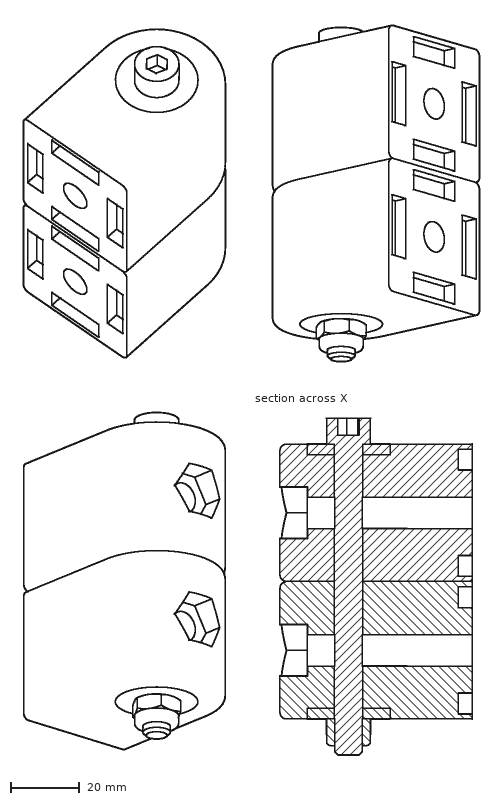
import cadquery as cq
import math


BLOCK_WIDTH = 40.0
BLOCK_HEIGHT = BLOCK_WIDTH
BACK_RADIUS = BLOCK_WIDTH / 2
FRONT_Y = -36.0
EDGE_FILLET = 2.0

CROSS_HOLE_DIAMETER = 9.0
NUT_POCKET_FLATS = 14.9
NUT_POCKET_DEPTH = 8.0

POCKET_LENGTH = 18.0
POCKET_WIDTH = 6.0
POCKET_DEPTH = 4.0
POCKET_MARGIN = 1.6
POCKET_COUNT = 4
POCKET_OFFSET = BLOCK_WIDTH / 2 - POCKET_MARGIN - POCKET_WIDTH / 2

WASHER_DIAMETER = 24.0
WASHER_THICKNESS = 3.0

SCREW_DIAMETER = 8.0
HEAD_DIAMETER = 12.9
HEAD_HEIGHT = 7.5
SOCKET_FLATS = 6.0
SOCKET_DEPTH = 5.0
SOCKET_TURN = 8.0
SCREW_END_LENGTH = 10.5
TIP_CHAMFER = 1.0

NUT_FLATS = 12.8
NUT_HEX_HEIGHT = 4.4
NUT_HEIGHT = 7.7
NUT_CHAMFER_ANGLE = 30.0
COLLAR_FILLET = 1.2

ENDS = (1, -1)


def make_cylinder(diameter, bottom, top):
    """Cylinder on the Z axis between two heights."""
    return cq.Workplane("XY").workplane(offset=bottom).circle(diameter / 2).extrude(top - bottom)


def make_hexagon(flats, bottom, top):
    """Hexagonal prism on the Z axis between two heights, with corners on the X axis."""
    return (
        cq.Workplane("XY")
        .workplane(offset=bottom)
        .polygon(6, flats / math.cos(math.pi / 6))
        .extrude(top - bottom)
    )


def make_block_body():
    """Flat-fronted block with a round back, filleted along both end outlines."""
    body = (
        cq.Workplane("XY")
        .workplane(offset=-BLOCK_HEIGHT / 2)
        .moveTo(-BACK_RADIUS, FRONT_Y)
        .lineTo(BACK_RADIUS, FRONT_Y)
        .lineTo(BACK_RADIUS, 0)
        .threePointArc((0, BACK_RADIUS), (-BACK_RADIUS, 0))
        .close()
        .extrude(BLOCK_HEIGHT)
    )
    end_outlines = body.faces("|Z").edges("not(<Y)")
    return end_outlines.fillet(EDGE_FILLET)


def make_cross_hole():
    """Hole along Y with a hexagonal nut pocket that opens at the back of the block."""
    hole = make_cylinder(CROSS_HOLE_DIAMETER, FRONT_Y, BACK_RADIUS)
    nut_pocket = make_hexagon(NUT_POCKET_FLATS, BACK_RADIUS - NUT_POCKET_DEPTH, BACK_RADIUS)
    return hole.union(nut_pocket).rotate((0, 0, 0), (1, 0, 0), -90)


def make_pockets():
    """Rectangular pockets, one along each side of the front face."""
    pocket = cq.Workplane("XY").box(POCKET_LENGTH, POCKET_DEPTH, POCKET_WIDTH).translate(
        (0, FRONT_Y + POCKET_DEPTH / 2, POCKET_OFFSET)
    )
    pockets = cq.Workplane("XY")
    for index in range(POCKET_COUNT):
        pockets = pockets.add(pocket.rotate((0, 0, 0), (0, 1, 0), index * 360 / POCKET_COUNT))
    return pockets.combine()


def make_washer(end):
    """Washer flush with the outer face of the upper (1) or lower (-1) block."""
    washer = make_cylinder(WASHER_DIAMETER, BLOCK_HEIGHT - WASHER_THICKNESS, BLOCK_HEIGHT)
    washer = washer.cut(make_cylinder(SCREW_DIAMETER, 0, BLOCK_HEIGHT))
    return washer if end > 0 else washer.mirror("XY")


def make_block(end):
    """Upper (1) or lower (-1) block with its bore and washer recess."""
    block = make_block_body().cut(make_cross_hole()).cut(make_pockets())
    block = block.translate((0, 0, BLOCK_HEIGHT / 2))
    block = block.cut(make_cylinder(SCREW_DIAMETER, 0, BLOCK_HEIGHT))
    block = block.cut(make_cylinder(WASHER_DIAMETER, BLOCK_HEIGHT - WASHER_THICKNESS, BLOCK_HEIGHT))
    return block if end > 0 else block.mirror("XY")


def make_screw():
    """Socket head screw that runs through both blocks, washers and the nut."""
    tip = -BLOCK_HEIGHT - SCREW_END_LENGTH
    head_top = BLOCK_HEIGHT + HEAD_HEIGHT
    shank = make_cylinder(SCREW_DIAMETER, tip, BLOCK_HEIGHT).faces("<Z").chamfer(TIP_CHAMFER)
    head = make_cylinder(HEAD_DIAMETER, BLOCK_HEIGHT, head_top)
    socket = make_hexagon(SOCKET_FLATS, head_top - SOCKET_DEPTH, head_top)
    socket = socket.rotate((0, 0, 0), (0, 0, 1), SOCKET_TURN)
    return shank.union(head).cut(socket)


def make_nut():
    """Hexagon nut with chamfered corners and a round collar below."""
    seat = -BLOCK_HEIGHT
    hex_bottom = seat - NUT_HEX_HEIGHT
    corner_radius = NUT_FLATS / 2 / math.cos(math.pi / 6)
    corner_drop = (corner_radius - NUT_FLATS / 2) * math.tan(math.radians(NUT_CHAMFER_ANGLE))
    hexagon = make_hexagon(NUT_FLATS, hex_bottom, seat)
    corner_limit = (
        cq.Workplane("XZ")
        .moveTo(0, seat)
        .lineTo(NUT_FLATS / 2, seat)
        .lineTo(corner_radius, seat - corner_drop)
        .lineTo(corner_radius, hex_bottom + corner_drop)
        .lineTo(NUT_FLATS / 2, hex_bottom)
        .lineTo(0, hex_bottom)
        .close()
        .revolve(360, (0, 0, 0), (0, 1, 0))
    )
    collar = make_cylinder(NUT_FLATS, seat - NUT_HEIGHT, hex_bottom)
    collar = collar.faces("<Z").edges().fillet(COLLAR_FILLET)
    nut = hexagon.intersect(corner_limit).union(collar)
    return nut.cut(make_cylinder(SCREW_DIAMETER, seat - NUT_HEIGHT, seat))


blocks = [make_block(end) for end in ENDS]
washers = [make_washer(end) for end in ENDS]
screw = make_screw()
nut = make_nut()

result = cq.Compound.makeCompound(
    [
        *[block.val() for block in blocks],
        *[washer.val() for washer in washers],
        screw.val(),
        nut.val(),
    ]
)